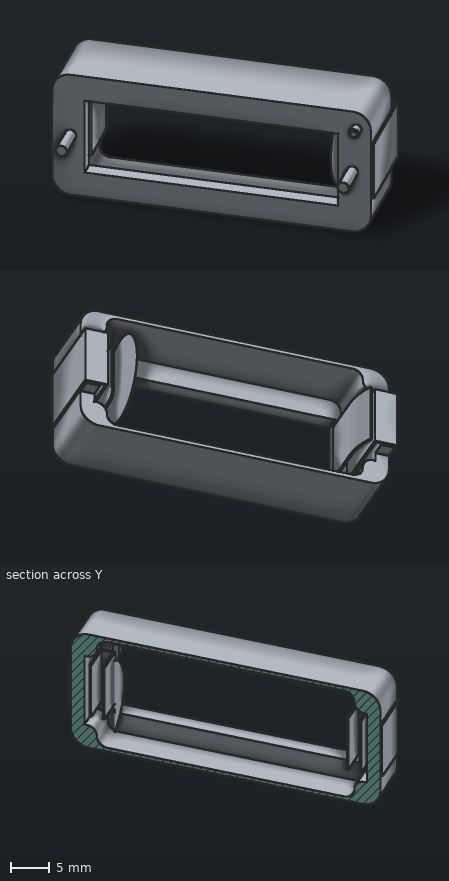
import cadquery as cq
import math

total_length = 43.55
total_depth = 19.33
height = 17.75
sheet = 0.25

half_length = total_length / 2 - sheet
depth = 10.2
corner_radius = 2.52
window_length = 34.2
window_height = 10.6
front_thickness = 2.18
end_wall = 1.9
side_wall = 0.65
cavity_half_length = 17.85
cavity_radius = 1.45

pin_offset = 19.02
pin_diameter = 1.52
pin_length = 4.55
key_x = 19.6
key_z = 6.4
key_diameter = 1.3
key_length = 1.55
key_chamfer = 0.2

clip_height = 8.0
clip_center_z = 0.15
clip_front = 0.52
clip_back = 12.55
clip_width = 3.15
bend_front = front_thickness
spring_reach = 4.95
spring_curve_start = 8.25
spring_radius = 9.58
spring_angle = math.radians(28)

lug_bottom = -4.15
lug_top = 3.0

disc_diameter = 12.2
disc_thickness = 0.05
disc_x = 15.4


def block(length, tall, front, back):
    """Block centred on the Y axis, running from front to back."""
    return cq.Workplane("XY").box(length, back - front, tall).translate((0, (front + back) / 2, 0))


def front_pin(x, z, diameter, length):
    """Pin standing out of the front face towards -Y."""
    return cq.Workplane("XZ").center(x, z).circle(diameter / 2).extrude(length)


def make_cavity():
    """Hollow of the housing, stepping down through rounded shoulders to a clip pocket at each end."""
    main = block(2 * cavity_half_length, height - 2 * side_wall, front_thickness, depth)
    pockets = block(2 * (half_length - end_wall), window_height, front_thickness, depth)
    cavity = main.union(pockets)
    shoulder_zone = cq.selectors.BoxSelector(
        (-cavity_half_length - sheet, 0, -height), (cavity_half_length + sheet, depth, height)
    )
    return cavity.edges("|Y").edges(shoulder_zone).fillet(cavity_radius)


def make_housing():
    body = block(2 * half_length, height, 0, depth).edges("|Y").fillet(corner_radius)
    body = body.cut(make_cavity())
    body = body.cut(block(window_length, window_height, 0, front_thickness))

    lug_depth = clip_back - sheet - depth
    for side in (-1, 1):
        lug = cq.Workplane("XY").box(end_wall, lug_depth, lug_top - lug_bottom).translate(
            (side * (half_length - end_wall / 2), depth + lug_depth / 2, (lug_top + lug_bottom) / 2)
        )
        body = body.union(lug)
        body = body.union(front_pin(side * pin_offset, 0, pin_diameter, pin_length))

    key = front_pin(key_x, key_z, key_diameter, key_length).faces("<Y").chamfer(key_chamfer)
    return body.union(key)


def make_clip(side):
    """Bent sheet hooked over an end wall; side is -1 or 1 along X."""
    outer_x = total_length / 2

    def at(inset, y):
        return (side * (outer_x - inset), y)

    def on_spring(radius, angle):
        center_inset = spring_reach - spring_radius
        return at(center_inset + radius * math.cos(angle), spring_curve_start + radius * math.sin(angle))

    inner_radius = spring_radius - sheet
    profile = (
        cq.Workplane("XY", origin=(0, 0, clip_center_z))
        .moveTo(*at(0, clip_front))
        .lineTo(*at(0, clip_back))
        .lineTo(*at(clip_width, clip_back))
        .lineTo(*at(clip_width, bend_front + sheet))
        .lineTo(*at(spring_reach - sheet, bend_front + sheet))
        .lineTo(*on_spring(inner_radius, 0))
        .threePointArc(on_spring(inner_radius, spring_angle / 2), on_spring(inner_radius, spring_angle))
        .lineTo(*on_spring(spring_radius, spring_angle))
        .threePointArc(on_spring(spring_radius, spring_angle / 2), on_spring(spring_radius, 0))
        .lineTo(*at(spring_reach, bend_front))
        .lineTo(*at(clip_width - sheet, bend_front))
        .lineTo(*at(clip_width - sheet, clip_back - sheet))
        .lineTo(*at(sheet, clip_back - sheet))
        .lineTo(*at(sheet, clip_front))
        .close()
    )
    return profile.extrude(clip_height / 2, both=True)


def make_disc():
    center_y = total_depth - pin_length - disc_diameter / 2
    return (
        cq.Workplane("YZ", origin=(disc_x, center_y, 0))
        .circle(disc_diameter / 2)
        .extrude(disc_thickness / 2, both=True)
    )


housing = make_housing()
clips = [make_clip(side) for side in (-1, 1)]
disc = make_disc()

result = cq.Compound.makeCompound([*housing.solids().vals(), *[clip.val() for clip in clips], disc.val()])